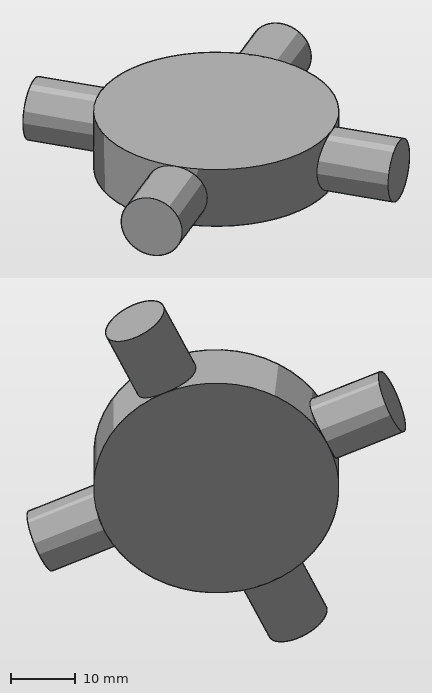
import cadquery as cq

span = 60.0
pin_diameter = 10.0
disc_diameter = 38.0
disc_thickness = pin_diameter


def cross_pin(plane):
    """Round bar through the disc centre, forming two opposite pins."""
    return cq.Workplane(plane).circle(pin_diameter / 2).extrude(span / 2, both=True)


disc = cq.Workplane("XY").circle(disc_diameter / 2).extrude(disc_thickness / 2, both=True)

result = disc
for pin_plane in ("YZ", "XZ"):
    result = result.union(cross_pin(pin_plane))